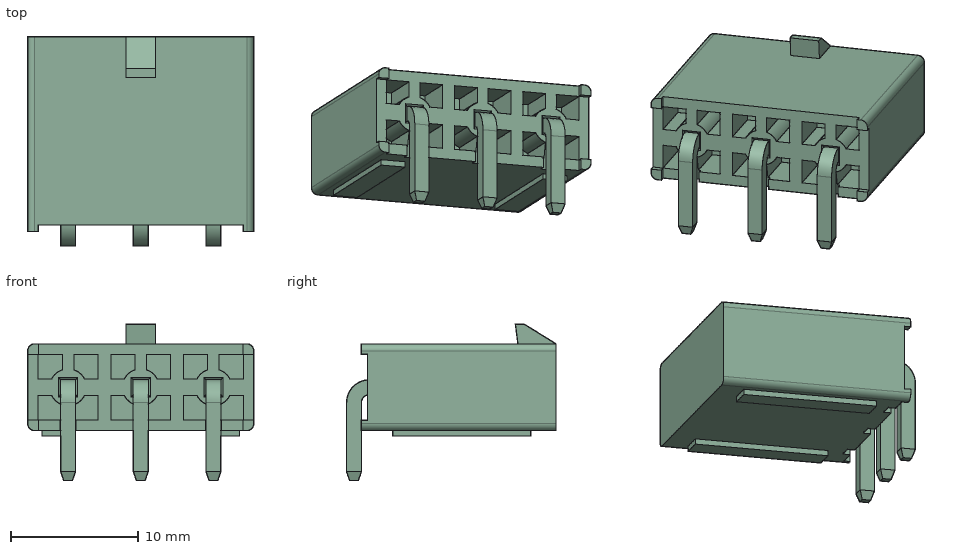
import cadquery as cq
import math

HOUSING_WIDTH = 17.75
HOUSING_LENGTH = 14.8
HOUSING_HEIGHT = 6.82
EDGE_RADIUS = 0.55
MID_Z = HOUSING_HEIGHT / 2

FOOT_SIZE = 0.84
FOOT_LENGTH = 0.5

CELL_PITCH = 5.7
CELL_CENTRES = (-CELL_PITCH, 0, CELL_PITCH)
CELL_WIDTH = 4.7
CELL_HEIGHT = 5.13
CELL_DEPTH = 4.0
RIB_WIDTH = 0.91
CROSSBAR_HEIGHT = 1.33
HUB_RADIUS = 1.44

PIN_SIZE = 1.18
PIN_REACH = 1.64
PIN_DROP = 3.91
PIN_TIP_SIZE = 0.7
PIN_TIP_LENGTH = 0.7
BEND_INNER_RADIUS = 0.62

MOUTH_WIDTH = 1.5
MOUTH_HEIGHT = 1.54
MOUTH_DEPTH = 0.16

RELIEF_WIDTH = 1.25
RELIEF_DEPTH = 0.6
RELIEF_HEIGHT = 2.05

LATCH_WIDTH = 2.35
LATCH_HEIGHT = 1.55
LATCH_BASE_LENGTH = 3.0
LATCH_TIP_LENGTH = 3.2
LATCH_RAMP_LENGTH = 2.5

PAD_SPAN = 15.53
PAD_WIDTH = 2.0
PAD_LENGTH = 10.85
PAD_HEIGHT = 0.43
PAD_INSET = 1.97


def block(width, length, height, x, y, z):
    """Box centred in X on x, starting at y and z."""
    return cq.Workplane("XY").box(width, length, height, (True, False, False)).translate((x, y, z))


def housing_with_feet():
    total_length = HOUSING_LENGTH + FOOT_LENGTH
    body = block(HOUSING_WIDTH, total_length, HOUSING_HEIGHT, 0, -FOOT_LENGTH, 0)
    body = body.edges("|Y").fillet(EDGE_RADIUS)
    between_feet = HOUSING_WIDTH - 2 * FOOT_SIZE
    body = body.cut(block(between_feet, FOOT_LENGTH, HOUSING_HEIGHT, 0, -FOOT_LENGTH, 0))
    side_gap = HOUSING_HEIGHT - 2 * FOOT_SIZE
    return body.cut(block(HOUSING_WIDTH, FOOT_LENGTH, side_gap, 0, -FOOT_LENGTH, FOOT_SIZE))


def hub(x):
    return cq.Workplane("XZ").center(x, MID_Z).circle(HUB_RADIUS).extrude(-CELL_DEPTH)


def cell_pockets(x):
    """Four pockets of a cell, left around the cross of rib, crossbar and round hub."""
    pockets = block(CELL_WIDTH, CELL_DEPTH, CELL_HEIGHT, x, 0, MID_Z - CELL_HEIGHT / 2)
    rib = block(RIB_WIDTH, CELL_DEPTH, CELL_HEIGHT, x, 0, MID_Z - CELL_HEIGHT / 2)
    crossbar = block(CELL_WIDTH, CELL_DEPTH, CROSSBAR_HEIGHT, x, 0, MID_Z - CROSSBAR_HEIGHT / 2)
    return pockets.cut(rib).cut(crossbar).cut(hub(x))


def pin_relief(x):
    """Wedge below the hub, deepest at the underside of the housing."""
    wedge = (
        cq.Workplane("YZ", origin=(x, 0, 0))
        .polyline([(0, 0), (RELIEF_DEPTH, 0), (0, RELIEF_HEIGHT)])
        .close()
        .extrude(RELIEF_WIDTH / 2, both=True)
    )
    return wedge.cut(hub(x))


def pin_mouth(x):
    return (
        cq.Workplane("XZ", origin=(x, 0, MID_Z))
        .rect(MOUTH_WIDTH, MOUTH_HEIGHT)
        .workplane(offset=-MOUTH_DEPTH)
        .rect(PIN_SIZE, PIN_SIZE)
        .loft()
    )


def pin(x):
    outer_radius = BEND_INNER_RADIUS + PIN_SIZE
    bend_y = outer_radius - PIN_REACH
    bend_z = MID_Z + PIN_SIZE / 2 - outer_radius
    root_y = MOUTH_DEPTH + PIN_SIZE
    tip_top = PIN_TIP_LENGTH - PIN_DROP
    diagonal = math.sqrt(0.5)
    outer_mid = (bend_y - outer_radius * diagonal, bend_z + outer_radius * diagonal)
    inner_mid = (bend_y - BEND_INNER_RADIUS * diagonal, bend_z + BEND_INNER_RADIUS * diagonal)
    bent_bar = (
        cq.Workplane("YZ", origin=(x, 0, 0))
        .moveTo(root_y, bend_z + outer_radius)
        .lineTo(bend_y, bend_z + outer_radius)
        .threePointArc(outer_mid, (bend_y - outer_radius, bend_z))
        .lineTo(bend_y - outer_radius, tip_top)
        .lineTo(bend_y - BEND_INNER_RADIUS, tip_top)
        .lineTo(bend_y - BEND_INNER_RADIUS, bend_z)
        .threePointArc(inner_mid, (bend_y, bend_z + BEND_INNER_RADIUS))
        .lineTo(root_y, bend_z + BEND_INNER_RADIUS)
        .close()
        .extrude(PIN_SIZE / 2, both=True)
    )
    tip = (
        cq.Workplane("XY", origin=(x, PIN_SIZE / 2 - PIN_REACH, tip_top))
        .rect(PIN_SIZE, PIN_SIZE)
        .workplane(offset=-PIN_TIP_LENGTH)
        .rect(PIN_TIP_SIZE, PIN_TIP_SIZE)
        .loft()
    )
    return bent_bar.union(tip)


def latch():
    top = HOUSING_HEIGHT + LATCH_HEIGHT
    return (
        cq.Workplane("YZ")
        .polyline([
            (HOUSING_LENGTH, HOUSING_HEIGHT),
            (HOUSING_LENGTH - LATCH_RAMP_LENGTH, top),
            (HOUSING_LENGTH - LATCH_TIP_LENGTH, top),
            (HOUSING_LENGTH - LATCH_BASE_LENGTH, HOUSING_HEIGHT),
        ])
        .close()
        .extrude(LATCH_WIDTH / 2, both=True)
    )


def pads():
    pad_start = HOUSING_LENGTH - PAD_INSET - PAD_LENGTH
    pad_x = (PAD_SPAN - PAD_WIDTH) / 2
    left_pad = block(PAD_WIDTH, PAD_LENGTH, PAD_HEIGHT, -pad_x, pad_start, -PAD_HEIGHT)
    right_pad = block(PAD_WIDTH, PAD_LENGTH, PAD_HEIGHT, pad_x, pad_start, -PAD_HEIGHT)
    return left_pad.union(right_pad)


result = housing_with_feet().union(latch()).union(pads())
for centre in CELL_CENTRES:
    result = result.cut(cell_pockets(centre))
    result = result.cut(pin_relief(centre))
    result = result.cut(pin_mouth(centre))
    result = result.union(pin(centre))